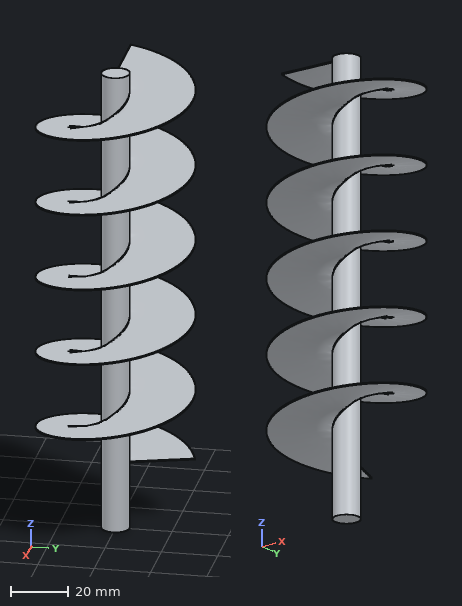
import cadquery as cq

shaft_length = 170.0
shaft_diameter = 10.0
flight_diameter = 56.0
flight_rise = 145.5
flight_thickness = 0.5
flight_turns = 5.2
flight_end_angle = 180.0

shaft_radius = shaft_diameter / 2
flight_radius = flight_diameter / 2
flight_pitch = flight_rise / flight_turns
flight_bottom = shaft_length - flight_rise - flight_thickness
flight_start_angle = flight_end_angle - 360.0 * flight_turns


def make_shaft():
    """Plain round shaft standing on the XY plane."""
    return cq.Workplane("XY").circle(shaft_radius).extrude(shaft_length)


def make_flight():
    """Right-handed screw flight: a thin radial strip swept along a helix around the shaft."""
    helix = cq.Wire.makeHelix(flight_pitch, flight_rise, shaft_radius)
    strip = (
        cq.Workplane("XZ")
        .moveTo(shaft_radius, 0)
        .lineTo(flight_radius, 0)
        .lineTo(flight_radius, flight_thickness)
        .lineTo(shaft_radius, flight_thickness)
        .close()
    )
    return (
        strip.sweep(cq.Workplane(obj=helix), isFrenet=True)
        .rotate((0, 0, 0), (0, 0, 1), flight_start_angle)
        .translate((0, 0, flight_bottom))
    )


shaft = make_shaft()
flight = make_flight()

result = cq.Compound.makeCompound([shaft.val(), flight.val()])